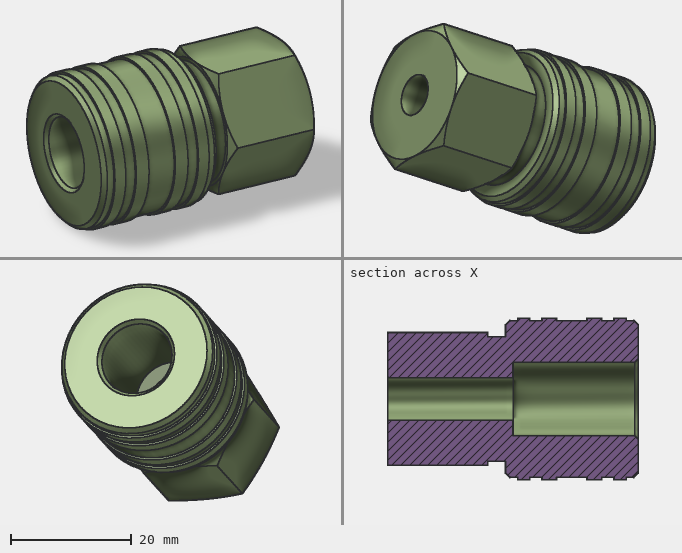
import cadquery as cq
import math

total_length = 41.5
sleeve_length = 22.0
hex_length = 16.6
hex_start = total_length - hex_length

sleeve_radius = 13.05
edge_chamfer = 0.75
band_radius = 13.4
bands = [(2.0, 4.05), (6.05, 8.5), (13.53, 15.98), (17.95, 20.0)]

neck_radius = 10.38
hex_sides = 6
hex_across_flats = 22.0
hex_chamfer_angle = 30.0

socket_radius = 6.05
socket_depth = 20.75
socket_chamfer = 0.62
passage_radius = 3.5


def cylinder(radius, start, end):
    """Solid cylinder about the Y axis between two Y positions."""
    plane = cq.Plane(origin=(0, start, 0), xDir=(1, 0, 0), normal=(0, 1, 0))
    return cq.Workplane(plane).circle(radius).extrude(end - start)


def make_sleeve():
    sleeve = cylinder(sleeve_radius, 0, sleeve_length).edges().chamfer(edge_chamfer)
    for start, end in bands:
        sleeve = sleeve.union(cylinder(band_radius, start, end))
    return sleeve


def make_hexagon():
    """Hexagon with flats facing +Z and -Z, its corners turned down conically at both ends."""
    flat_radius = hex_across_flats / 2
    corner_radius = flat_radius / math.cos(math.pi / hex_sides)
    plane = cq.Plane(origin=(0, hex_start, 0), xDir=(1, 0, 0), normal=(0, 1, 0))
    prism = cq.Workplane(plane).polygon(hex_sides, 2 * corner_radius).extrude(hex_length)

    chamfer_length = (corner_radius - flat_radius) * math.tan(math.radians(hex_chamfer_angle))
    envelope = (
        cq.Workplane("XY")
        .moveTo(0, hex_start)
        .lineTo(flat_radius, hex_start)
        .lineTo(corner_radius, hex_start + chamfer_length)
        .lineTo(corner_radius, total_length - chamfer_length)
        .lineTo(flat_radius, total_length)
        .lineTo(0, total_length)
        .close()
        .revolve(360, (0, 0, 0), (0, 1, 0))
    )
    return prism.intersect(envelope)


def make_bore():
    """Chamfered plug socket followed by a narrower passage through the part."""
    profile = (
        cq.Workplane("XY")
        .lineTo(socket_radius + socket_chamfer, 0)
        .lineTo(socket_radius, socket_chamfer)
        .lineTo(socket_radius, socket_depth)
        .lineTo(0, socket_depth)
        .close()
    )
    socket = profile.revolve(360, (0, 0, 0), (0, 1, 0))
    return socket.union(cylinder(passage_radius, 0, total_length))


neck = cylinder(neck_radius, sleeve_length, hex_start)
result = make_sleeve().union(neck).union(make_hexagon()).cut(make_bore())